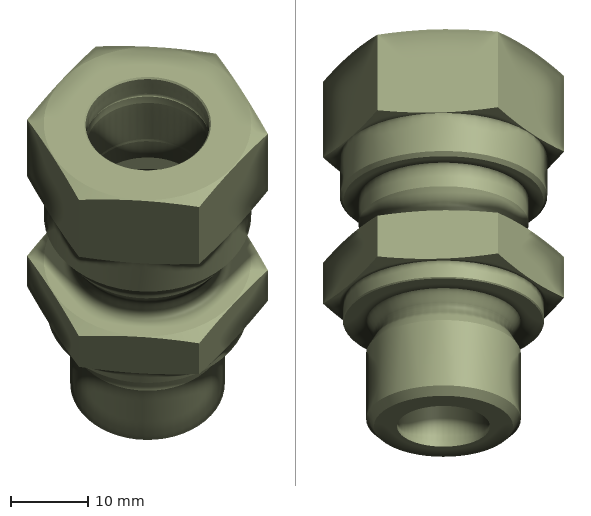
import cadquery as cq
import math


total_height = 50.5

hex_across_flats = 27.0
hex_half_side_angle = math.radians(30)
hex_corner_diameter = hex_across_flats / math.cos(hex_half_side_angle)
hex_chamfer_diameter = 26.8
hex_chamfer_angle = math.radians(15)

tube_diameter = 16.0
through_bore_diameter = 12.0
tube_stop_z = 35.35

stud_diameter = 20.0
stud_chamfer = 1.0
stud_top_z = 10.4
groove_diameter = 17.75
groove_round = 1.3
undercut_angle = math.radians(30)

flange_diameter = 26.0
flange_bottom_z = 15.0
flange_chamfer = 0.15
body_hex_bottom_z = 17.45
body_hex_height = 7.0
body_hex_top_z = body_hex_bottom_z + body_hex_height

neck_diameter = 19.7
neck_round = 1.0
thread_diameter = 22.0
thread_bottom_z = 29.15

nut_height = 18.0
nut_hex_height = 12.0
nut_skirt_diameter = 26.8
nut_skirt_chamfer = 0.5
nut_bottom_z = total_height - nut_height
nut_hex_bottom_z = total_height - nut_hex_height
nut_bore_chamfer = 0.2
nut_lip_height = 3.0

seat_top_z = total_height - nut_lip_height
body_top_z = seat_top_z - (thread_diameter - tube_diameter) / 2

ring_diameter = 18.6
ring_top_z = 46.75
ring_bottom_z = 38.9
ring_mouth_diameter = 16.4
ring_mouth_depth = 1.0
ring_taper_angle = math.radians(12)


def revolve_profile(profile):
    """Turn a profile drawn in radius and height about the Z axis."""
    return profile.close().revolve(360, (0, 0, 0), (0, 1, 0))


def chamfered_hexagon(bottom_z, height):
    """Hexagonal prism with flats facing X and its corners chamfered at both ends."""
    prism = (
        cq.Workplane("XY", origin=(0, 0, bottom_z))
        .polygon(6, hex_corner_diameter)
        .extrude(height)
        .rotate((0, 0, 0), (0, 0, 1), math.degrees(hex_half_side_angle))
    )
    face_radius = hex_chamfer_diameter / 2
    corner_radius = hex_corner_diameter / 2
    drop = (corner_radius - face_radius) * math.tan(hex_chamfer_angle)
    envelope = revolve_profile(
        cq.Workplane("XZ")
        .moveTo(0, bottom_z)
        .lineTo(face_radius, bottom_z)
        .lineTo(corner_radius, bottom_z + drop)
        .lineTo(corner_radius, bottom_z + height - drop)
        .lineTo(face_radius, bottom_z + height)
        .lineTo(0, bottom_z + height)
    )
    return prism.intersect(envelope)


def taper_radius(z):
    """Radius of the tapered socket for the cutting ring at height z."""
    return ring_diameter / 2 - (body_top_z - z) * math.tan(ring_taper_angle)


def make_stud():
    """Stud end, thread undercut and flange, below the hexagon of the body."""
    stud_radius = stud_diameter / 2
    flange_radius = flange_diameter / 2
    groove_radius = groove_diameter / 2
    round_end_radius = groove_radius + groove_round * (1 - math.cos(undercut_angle))
    round_half_height = groove_round * math.sin(undercut_angle)
    lower_cone_height = (stud_radius - round_end_radius) / math.tan(undercut_angle)
    groove_z = stud_top_z + lower_cone_height + round_half_height
    upper_cone_height = flange_bottom_z - groove_z - round_half_height
    upper_cone_radius = round_end_radius + upper_cone_height * math.tan(undercut_angle)
    return revolve_profile(
        cq.Workplane("XZ")
        .lineTo(stud_radius - stud_chamfer, 0)
        .lineTo(stud_radius, stud_chamfer)
        .lineTo(stud_radius, stud_top_z)
        .lineTo(round_end_radius, groove_z - round_half_height)
        .threePointArc((groove_radius, groove_z), (round_end_radius, groove_z + round_half_height))
        .lineTo(upper_cone_radius, flange_bottom_z)
        .lineTo(flange_radius - flange_chamfer, flange_bottom_z)
        .lineTo(flange_radius, flange_bottom_z + flange_chamfer)
        .lineTo(flange_radius, body_hex_bottom_z)
        .lineTo(0, body_hex_bottom_z)
    )


def make_neck():
    """Neck and threaded end, above the hexagon of the body."""
    neck_radius = neck_diameter / 2
    thread_radius = thread_diameter / 2
    foot_z = body_hex_top_z
    foot_middle = neck_round * (1 - math.cos(math.radians(45)))
    cone_start_radius = neck_radius + neck_round * (1 - math.cos(undercut_angle))
    cone_start_z = thread_bottom_z - (thread_radius - cone_start_radius) / math.tan(undercut_angle)
    round_start_z = cone_start_z - neck_round * math.sin(undercut_angle)
    round_middle = (
        neck_radius + neck_round * (1 - math.cos(undercut_angle / 2)),
        round_start_z + neck_round * math.sin(undercut_angle / 2),
    )
    return revolve_profile(
        cq.Workplane("XZ")
        .moveTo(0, foot_z)
        .lineTo(neck_radius + neck_round, foot_z)
        .threePointArc(
            (neck_radius + foot_middle, foot_z + foot_middle),
            (neck_radius, foot_z + neck_round),
        )
        .lineTo(neck_radius, round_start_z)
        .threePointArc(round_middle, (cone_start_radius, cone_start_z))
        .lineTo(thread_radius, thread_bottom_z)
        .lineTo(thread_radius, body_top_z)
        .lineTo(0, body_top_z)
    )


def make_body_passage():
    """Through bore, tube socket and tapered mouth for the cutting ring."""
    bore_radius = through_bore_diameter / 2
    tube_radius = tube_diameter / 2
    taper_height = (ring_diameter / 2 - tube_radius) / math.tan(ring_taper_angle)
    return revolve_profile(
        cq.Workplane("XZ")
        .lineTo(bore_radius, 0)
        .lineTo(bore_radius, tube_stop_z)
        .lineTo(tube_radius, tube_stop_z)
        .lineTo(tube_radius, body_top_z - taper_height)
        .lineTo(ring_diameter / 2, body_top_z)
        .lineTo(0, body_top_z)
    )


def make_body():
    """Stud, hexagon and threaded neck in one piece, with the passage cut through."""
    hexagon = chamfered_hexagon(body_hex_bottom_z, body_hex_height)
    return make_stud().union(hexagon).union(make_neck()).cut(make_body_passage())


def make_nut():
    """Hexagon nut with a round skirt, a thread bore, a conical seat and a tube bore."""
    skirt = (
        cq.Workplane("XY", origin=(0, 0, nut_bottom_z))
        .circle(nut_skirt_diameter / 2)
        .extrude(nut_height - nut_hex_height)
        .faces("<Z")
        .chamfer(nut_skirt_chamfer)
    )
    tube_radius = tube_diameter / 2
    thread_radius = thread_diameter / 2
    passage = revolve_profile(
        cq.Workplane("XZ")
        .moveTo(0, nut_bottom_z)
        .lineTo(thread_radius, nut_bottom_z)
        .lineTo(thread_radius, body_top_z)
        .lineTo(tube_radius, seat_top_z)
        .lineTo(tube_radius, total_height - nut_bore_chamfer)
        .lineTo(tube_radius + nut_bore_chamfer, total_height)
        .lineTo(0, total_height)
    )
    return chamfered_hexagon(nut_hex_bottom_z, nut_hex_height).union(skirt).cut(passage)


def make_cutting_ring():
    """Ring that fills the tapered mouth of the body and bears on the seat of the nut."""
    tube_radius = tube_diameter / 2
    ring_radius = ring_diameter / 2
    seat_radius_at_ring_top = tube_radius + seat_top_z - ring_top_z
    shoulder_z = seat_top_z - (ring_radius - tube_radius)
    return revolve_profile(
        cq.Workplane("XZ")
        .moveTo(tube_radius, ring_bottom_z)
        .lineTo(taper_radius(ring_bottom_z), ring_bottom_z)
        .lineTo(ring_radius, body_top_z)
        .lineTo(ring_radius, shoulder_z)
        .lineTo(seat_radius_at_ring_top, ring_top_z)
        .lineTo(ring_mouth_diameter / 2, ring_top_z)
        .lineTo(tube_radius, ring_top_z - ring_mouth_depth)
    )


body = make_body()
nut = make_nut()
cutting_ring = make_cutting_ring()

result = cq.Compound.makeCompound([body.val(), nut.val(), cutting_ring.val()])